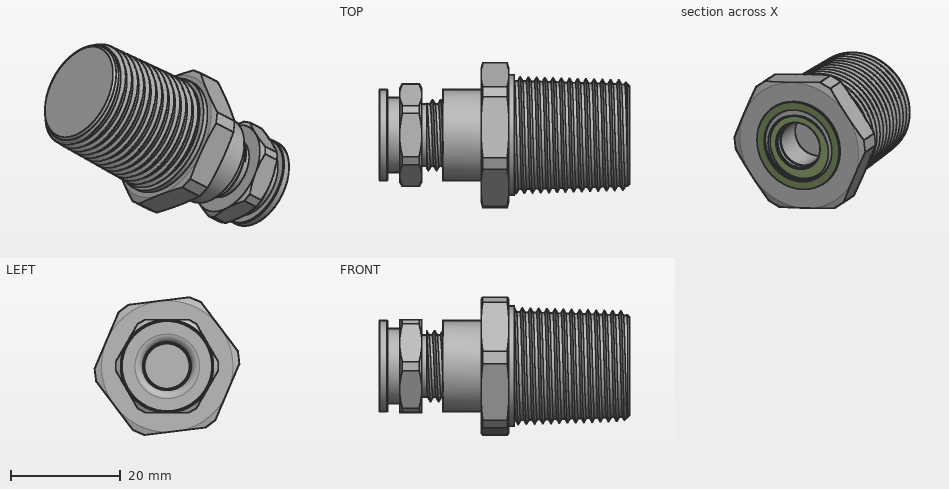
import cadquery as cq
import math


FLANGE_END = 1.57
NUT_HEX_START = 3.75
NUT_HEX_END = 7.8
NUT_THREAD_START = 8.65
BODY_START = 11.65
BODY_HEX_START = 18.6
BODY_HEX_END = 23.7
COLLAR_END = 24.68
BODY_END = 45.78

FLANGE_DIA = 16.7
FLANGE_CHAMFER = 0.15
NECK_DIA = 13.76
STEM_DIA = 11.4
NUT_BORE_DIA = 8.85
MOUTH_DIA = 11.8
MOUTH_RADIUS = (MOUTH_DIA - NUT_BORE_DIA) / 2
NUT_HEX_FLATS = 17.0
NUT_HEX_BEVEL = 30.0

SLEEVE_DIA = 16.7
COLLAR_DIA = 22.05
BODY_HEX_FLATS = 24.0
BODY_HEX_BEVEL = 15.0
BODY_HEX_TURN = -7.0
CORNER_RATIO = 1.1

PITCH = 1.5
FLANK_HALF_ANGLE = 30.0
THREAD_SINK = 0.4
NUT_THREAD_DIA = 13.0
NUT_THREAD_CREST_X = 9.37
TAPER = 1 / 32
BODY_THREAD_CREST_X = 25.39
BODY_THREAD_CREST_R = 10.67
BODY_THREAD_HEIGHT = 0.75
END_FACE_R = 8.88

SOCKET_CLEARANCE = 0.6
SOCKET_DIA = NUT_THREAD_DIA + SOCKET_CLEARANCE
WASHER_BORE_DIA = 8.52
WASHER_THICKNESS = 1.0
SEAL_BORE_DIA = 8.2
SEAL_LENGTH = 6.0
NUT_END = BODY_HEX_START
WASHER_END = NUT_END + WASHER_THICKNESS
SOCKET_FLOOR = WASHER_END + SEAL_LENGTH


def cylinder(start, end, diameter):
    return cq.Workplane("YZ", origin=(start, 0, 0)).circle(diameter / 2).extrude(end - start)


def revolved(points):
    """Solid of revolution about X from a closed outline of (x, radius) points."""
    return cq.Workplane("XY").polyline(points).close().revolve(360, (0, 0, 0), (1, 0, 0))


def hexagon(start, end, flats, bevel, turn):
    """Hexagon with flattened corners, both ends bevelled down to the flats circle."""
    corner_reach = flats * CORNER_RATIO / 2
    length = end - start
    plane = cq.Workplane("YZ", origin=(start, 0, 0))
    prism = plane.polygon(6, flats / math.cos(math.radians(30))).extrude(length)
    corner_cut = plane.polygon(6, 2 * corner_reach / math.cos(math.radians(30))).extrude(length)
    corner_cut = corner_cut.rotate((0, 0, 0), (1, 0, 0), 30)
    rim = flats / 2 + length / 2 / math.tan(math.radians(bevel))
    middle = (start + end) / 2
    bevel_cones = revolved([(start, 0), (start, flats / 2), (middle, rim), (end, flats / 2), (end, 0)])
    return prism.intersect(corner_cut).intersect(bevel_cones).rotate((0, 0, 0), (1, 0, 0), turn)


def thread_ridge(start, length, crest_radius, height, taper):
    """Right-handed triangular ridge along +X, its crest starting at the bottom (-Z)."""
    depth = height + THREAD_SINK
    half_width = depth * math.tan(math.radians(FLANK_HALF_ANGLE))
    base_radius = crest_radius - depth
    if taper:
        path = cq.Wire.makeHelix(PITCH, length, base_radius, angle=-math.degrees(math.atan(taper)))
    else:
        path = cq.Wire.makeHelix(PITCH, length, base_radius)
    ridge = (
        cq.Workplane("XZ")
        .polyline([(base_radius, -half_width), (crest_radius, 0), (base_radius, half_width)])
        .close()
        .sweep(cq.Workplane(path), isFrenet=True)
    )
    return ridge.rotate((0, 0, 0), (0, 1, 0), 90).translate((start, 0, 0))


def make_gland_nut():
    flange = cylinder(0, FLANGE_END, FLANGE_DIA).faces("<X or >X").chamfer(FLANGE_CHAMFER)
    neck = cylinder(FLANGE_END, NUT_HEX_START, NECK_DIA)
    hexagon_part = hexagon(NUT_HEX_START, NUT_HEX_END, NUT_HEX_FLATS, NUT_HEX_BEVEL, 0)
    stem = cylinder(NUT_HEX_END, NUT_END, STEM_DIA)

    thread_height = (NUT_THREAD_DIA - STEM_DIA) / 2
    helix_start = NUT_THREAD_CREST_X - PITCH
    helix_length = NUT_END - helix_start + PITCH
    ridge = thread_ridge(helix_start, helix_length, NUT_THREAD_DIA / 2, thread_height, 0)
    ridge = ridge.intersect(cylinder(NUT_THREAD_START, NUT_END, 2 * NUT_THREAD_DIA))

    bore = cylinder(0, NUT_END, NUT_BORE_DIA)
    mouth = (
        cq.Workplane("XY")
        .lineTo(0, MOUTH_DIA / 2)
        .radiusArc((MOUTH_RADIUS, NUT_BORE_DIA / 2), -MOUTH_RADIUS)
        .lineTo(MOUTH_RADIUS, 0)
        .close()
        .revolve(360, (0, 0, 0), (1, 0, 0))
    )
    return flange.union(neck).union(hexagon_part).union(stem).union(ridge).cut(bore).cut(mouth)


def make_body():
    sleeve = cylinder(BODY_START, BODY_HEX_START, SLEEVE_DIA)
    hexagon_part = hexagon(BODY_HEX_START, BODY_HEX_END, BODY_HEX_FLATS, BODY_HEX_BEVEL, BODY_HEX_TURN)
    collar = cylinder(BODY_HEX_END, COLLAR_END, COLLAR_DIA)

    crest_r_at_collar = BODY_THREAD_CREST_R - TAPER * (COLLAR_END - BODY_THREAD_CREST_X)
    root_r_start = crest_r_at_collar - BODY_THREAD_HEIGHT
    root_r_end = root_r_start - TAPER * (BODY_END - COLLAR_END)
    chamfer = root_r_end - END_FACE_R
    core = revolved([
        (COLLAR_END, 0),
        (COLLAR_END, root_r_start),
        (BODY_END - chamfer, root_r_end + TAPER * chamfer),
        (BODY_END, END_FACE_R),
        (BODY_END, 0),
    ])

    helix_start = BODY_THREAD_CREST_X - PITCH
    crest_r = BODY_THREAD_CREST_R + TAPER * PITCH
    ridge = thread_ridge(helix_start, BODY_END - helix_start, crest_r, BODY_THREAD_HEIGHT, TAPER)
    envelope = revolved([
        (BODY_HEX_START, 0),
        (BODY_HEX_START, COLLAR_DIA / 2),
        (BODY_END - (COLLAR_DIA / 2 - END_FACE_R), COLLAR_DIA / 2),
        (BODY_END, END_FACE_R),
        (BODY_END, 0),
    ])
    ridge = ridge.intersect(envelope)

    socket = cylinder(BODY_START, SOCKET_FLOOR, SOCKET_DIA)
    return sleeve.union(hexagon_part).union(collar).union(core).union(ridge).cut(socket)


def make_ring(start, end, bore_diameter):
    return cylinder(start, end, SOCKET_DIA).cut(cylinder(start, end, bore_diameter))


gland_nut = make_gland_nut()
body = make_body()
washer = make_ring(NUT_END, WASHER_END, WASHER_BORE_DIA)
seal = make_ring(WASHER_END, SOCKET_FLOOR, SEAL_BORE_DIA)

result = cq.Compound.makeCompound([gland_nut.val(), body.val(), washer.val(), seal.val()])